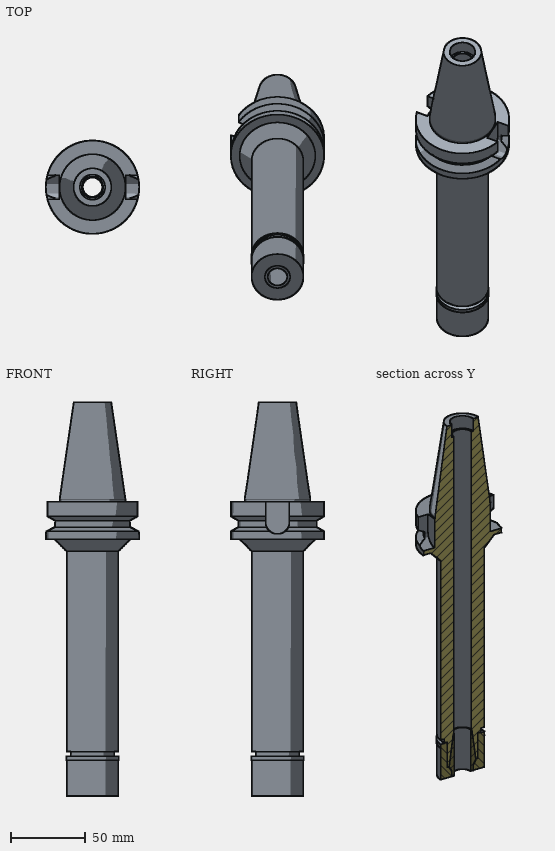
import cadquery as cq
import math


taper_length = 65.4
gauge_radius = 44.45 / 2
taper_ratio = 7 / 24
taper_tip_radius = gauge_radius - taper_length * taper_ratio / 2

flange_radius = 63 / 2
flange_top_z = -1.7
flange_bottom_z = -27.0
groove_center_z = -16.6
groove_floor_radius = 53 / 2
groove_floor_width = 4.3
groove_wall_height = (flange_radius - groove_floor_radius) * math.tan(math.radians(30))
groove_floor_top_z = groove_center_z + groove_floor_width / 2
groove_floor_bottom_z = groove_center_z - groove_floor_width / 2

slot_width = 16.1
slot_floor_x = 22.5
slot_bottom_z = -23.4

nose_z = -200.0
shank_radius = 35 / 2
cone_bottom_z = -35.0
cone_top_radius = shank_radius + flange_bottom_z - cone_bottom_z

shank_bottom_z = -170.0
neck_radius = 29.6 / 2
stub_radius = 25 / 2
stub_bottom_z = -192.0

counterbore_radius = 17 / 2
counterbore_depth = 9.4
bore_radius = 14 / 2

nut_top_z = -173.0
nut_radius = shank_radius
nut_collar_radius = 35.5 / 2
nut_collar_height = 2.8

collet_radius = 21 / 2
collet_length = 31.5
collet_bore_radius = 13 / 2
collet_front_radius = 17 / 2
collet_back_z = nose_z + collet_length
collet_back_radius = collet_radius - (collet_back_z - stub_bottom_z) * math.tan(math.radians(8))
collet_front_cone_height = (collet_radius - collet_front_radius) / math.tan(math.radians(30))
collet_front_cone_z = stub_bottom_z - collet_front_cone_height


def revolve_profile(points):
    """Revolve a closed (radius, z) outline about the Z axis."""
    return cq.Workplane("XZ").polyline(points).close().revolve(360, (0, 0, 0), (0, 1, 0))


def make_drive_slot(side):
    """Cutter for one drive slot: a flat floor facing outward and a rounded lower end."""
    arc_center_z = slot_bottom_z + slot_width / 2
    slot_depth = flange_radius - slot_floor_x
    cutter = (
        cq.Workplane("YZ", origin=(slot_floor_x, 0, 0))
        .moveTo(-slot_width / 2, flange_top_z)
        .lineTo(-slot_width / 2, arc_center_z)
        .threePointArc((0, slot_bottom_z), (slot_width / 2, arc_center_z))
        .lineTo(slot_width / 2, flange_top_z)
        .close()
        .extrude(slot_depth)
    )
    return cutter if side > 0 else cutter.mirror("YZ")


def make_holder():
    """Taper, flange, shank and threaded stub with the stepped bore and the collet seat."""
    counterbore_z = taper_length - counterbore_depth
    outline = [
        (counterbore_radius, taper_length),
        (taper_tip_radius, taper_length),
        (gauge_radius, 0),
        (gauge_radius, flange_top_z),
        (flange_radius, flange_top_z),
        (flange_radius, groove_floor_top_z + groove_wall_height),
        (groove_floor_radius, groove_floor_top_z),
        (groove_floor_radius, groove_floor_bottom_z),
        (flange_radius, groove_floor_bottom_z - groove_wall_height),
        (flange_radius, flange_bottom_z),
        (cone_top_radius, flange_bottom_z),
        (shank_radius, cone_bottom_z),
        (shank_radius, shank_bottom_z),
        (neck_radius, shank_bottom_z),
        (neck_radius, nut_top_z),
        (stub_radius, nut_top_z),
        (stub_radius, stub_bottom_z),
        (collet_radius, stub_bottom_z),
        (collet_back_radius, collet_back_z),
        (bore_radius, collet_back_z),
        (bore_radius, counterbore_z),
        (counterbore_radius, counterbore_z),
    ]
    body = revolve_profile(outline)
    for side in (1, -1):
        body = body.cut(make_drive_slot(side))
    return body


def make_nut():
    """Round nut with a collar at its top, fitted over the stub and the collet front."""
    collar_bottom_z = nut_top_z - nut_collar_height
    return revolve_profile([
        (stub_radius, nut_top_z),
        (nut_collar_radius, nut_top_z),
        (nut_collar_radius, collar_bottom_z),
        (nut_radius, collar_bottom_z),
        (nut_radius, nose_z),
        (collet_front_radius, nose_z),
        (collet_front_radius, collet_front_cone_z),
        (collet_radius, stub_bottom_z),
        (stub_radius, stub_bottom_z),
    ])


def make_collet():
    """Double cone collet with a straight through bore, flush with the nut face."""
    return revolve_profile([
        (collet_bore_radius, collet_back_z),
        (collet_back_radius, collet_back_z),
        (collet_radius, stub_bottom_z),
        (collet_front_radius, collet_front_cone_z),
        (collet_front_radius, nose_z),
        (collet_bore_radius, nose_z),
    ])


holder = make_holder()
nut = make_nut()
collet = make_collet()

result = cq.Compound.makeCompound([holder.val(), nut.val(), collet.val()])